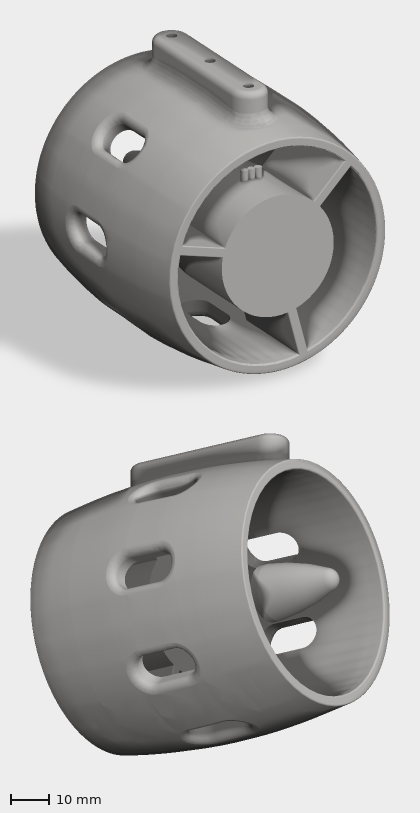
import cadquery as cq
import math

duct_length = 68.6
mid_x = duct_length / 2
barrel_radius = 36.0
rim_radius = 32.9
bore_radius = 30.2
rim_round = 0.5

slot_pitch_angle = 45
slot_count = 7
slot_offset_angle = 0.8
slot_x = 30.9
slot_straight = 9.4
slot_width = 8.6
slot_edge_round = 2.0

pad_top_z = 42.9
pad_width = 10.15
pad_straight = 38.9
pad_top_round = 1.8
pad_root_round = 3.2
screw_hole_count = 3
screw_hole_spacing = pad_straight / (screw_hole_count - 1)
screw_hole_diameter = 3.0
screw_hole_depth = 9.45

hub_front_x = 41.7
hub_length = duct_length - hub_front_x
hub_radius = 17.1
strut_angles = [75, 195, 315]
strut_thickness = 2.75
strut_round = 0.3

wire_diameter = 2.05
wire_count = 3
wire_top_z = 20.0
wire_x = hub_front_x + hub_length / 2

nose_tip_x = -6.85
nose_tip_radius = 3.15
nose_cap_length = 2.1
nose_rim_radius = 4.8
nose_shoulder_x = 13.5
nose_base_x = 15.6
nose_base_radius = 7.6


def about_duct_axis(shape, angle):
    """Turn a shape that points up by an angle around the X axis, toward -Y."""
    return shape.rotate((0, 0, 0), (1, 0, 0), angle)


def upright_stadium(center_x, straight, width, bottom_z, top_z):
    """Vertical prism with a round-ended outline that is long in X."""
    return (
        cq.Workplane("XY", origin=(center_x, 0, bottom_z))
        .slot2D(straight + width, width)
        .extrude(top_z - bottom_z)
    )


def make_shell():
    """Solid barrel of revolution, still without its bore."""
    profile = (
        cq.Workplane("XZ")
        .lineTo(0, rim_radius)
        .threePointArc((mid_x, barrel_radius), (duct_length, rim_radius))
        .lineTo(duct_length, 0)
        .close()
    )
    return profile.revolve(360, (0, 0, 0), (1, 0, 0))


def add_mount(shell):
    """Join the pad to the shell and round its root and its top edge."""
    pad = upright_stadium(mid_x, pad_straight, pad_width, bore_radius, pad_top_z)
    body = shell.union(pad)
    half_length = (pad_straight + pad_width) / 2
    root_region = cq.selectors.BoxSelector(
        (mid_x - half_length, -pad_width, rim_radius),
        (mid_x + half_length, pad_width, barrel_radius),
    )
    body = body.edges(root_region).fillet(pad_root_round)
    return body.faces(">Z").edges().fillet(pad_top_round)


def drill_screw_holes(body):
    """Blind holes at the middle and at both end-arc centres of the pad."""
    holes = (
        cq.Workplane("XY", origin=(mid_x, 0, pad_top_z))
        .rarray(screw_hole_spacing, 0.8, screw_hole_count, 1)
        .circle(screw_hole_diameter / 2)
        .extrude(-screw_hole_depth)
    )
    return body.cut(holes)


def cut_slots(body):
    """Cut every slot at the top of the shell, turning the shell one pitch after each."""
    slot = upright_stadium(slot_x, slot_straight, slot_width, bore_radius / 2, pad_top_z)
    mouth_half_length = (slot_straight + slot_width) / 2 + slot_edge_round
    mouth_region = cq.selectors.BoxSelector(
        (slot_x - mouth_half_length, -slot_width, (bore_radius + barrel_radius) / 2),
        (slot_x + mouth_half_length, slot_width, barrel_radius),
    )
    body = about_duct_axis(body, slot_pitch_angle - slot_offset_angle)
    for _ in range(slot_count):
        body = body.cut(slot).edges(mouth_region).fillet(slot_edge_round)
        body = about_duct_axis(body, slot_pitch_angle)
    return about_duct_axis(body, slot_offset_angle)


def cut_bore(body):
    """Open the shell from end to end and round the rims."""
    bore = cq.Workplane("YZ").circle(bore_radius).extrude(duct_length)
    return body.cut(bore).faces("<X or >X").edges().fillet(rim_round)


def make_strut(angle):
    """Radial bar from inside the hub into the shell wall, with rounded long edges."""
    root_radius = hub_radius / 2
    tip_radius = (bore_radius + rim_radius) / 2
    bar = (
        cq.Workplane("XY", origin=(hub_front_x, 0, root_radius))
        .rect(hub_length, strut_thickness)
        .extrude(tip_radius - root_radius)
        .translate((hub_length / 2, 0, 0))
        .edges("|Z")
        .fillet(strut_round)
    )
    return about_duct_axis(bar, angle)


def make_motor():
    """Cylindrical hub with the wire stubs on its top."""
    hub = cq.Workplane("YZ", origin=(hub_front_x, 0, 0)).circle(hub_radius).extrude(hub_length)
    wires = (
        cq.Workplane("XY", origin=(wire_x, 0, 0))
        .rarray(0.8, wire_diameter, 1, wire_count)
        .circle(wire_diameter / 2)
        .extrude(wire_top_z)
    )
    return hub.union(wires)


def make_housing():
    """Duct shell, mount, struts and motor hub as one solid."""
    body = cut_slots(make_shell())
    body = drill_screw_holes(add_mount(body))
    body = cut_bore(body)
    body = body.union(make_motor())
    for angle in strut_angles:
        body = body.union(make_strut(angle))
    return body


def make_nose():
    """Solid of revolution about the duct axis."""
    cap_end_x = nose_tip_x + nose_cap_length

    def cap_radius(depth):
        return math.sqrt(depth * (2 * nose_tip_radius - depth))

    cap_mid_depth = nose_cap_length / 3
    profile = (
        cq.Workplane("XZ")
        .moveTo(nose_tip_x, 0)
        .threePointArc(
            (nose_tip_x + cap_mid_depth, cap_radius(cap_mid_depth)),
            (cap_end_x, cap_radius(nose_cap_length)),
        )
        .threePointArc((0, nose_rim_radius), (nose_shoulder_x, nose_base_radius))
        .lineTo(nose_base_x, nose_base_radius)
        .lineTo(nose_base_x, 0)
        .close()
    )
    return profile.revolve(360, (0, 0, 0), (1, 0, 0))


housing = make_housing()
nose = make_nose()

result = cq.Compound.makeCompound([housing.val(), nose.val()])